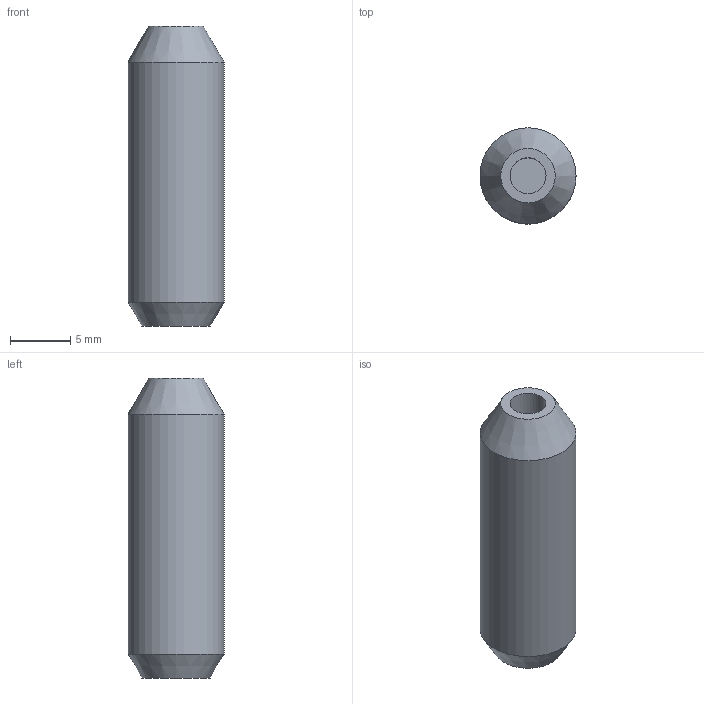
import cadquery as cq
import math

BODY_DIAMETER = 8.0
TOTAL_LENGTH = 25.0

TAPER_ANGLE = 30.0
TOP_TAPER_LENGTH = 3.0
BOTTOM_TAPER_LENGTH = 2.0

HOLE_DIAMETER = 3.0
HOLE_DEPTH = 10.0

body_radius = BODY_DIAMETER / 2
taper_slope = math.tan(math.radians(TAPER_ANGLE))


def end_radius(taper_length):
    """Radius of the flat end face left by a taper of the given length."""
    return body_radius - taper_length * taper_slope


def make_body():
    """Pin with tapered ends, revolved about Z and standing on Z = 0."""
    half_profile = [
        (0, 0),
        (end_radius(BOTTOM_TAPER_LENGTH), 0),
        (body_radius, BOTTOM_TAPER_LENGTH),
        (body_radius, TOTAL_LENGTH - TOP_TAPER_LENGTH),
        (end_radius(TOP_TAPER_LENGTH), TOTAL_LENGTH),
        (0, TOTAL_LENGTH),
    ]
    return cq.Workplane("XZ").polyline(half_profile).close().revolve(360, (0, 0), (0, 1))


def cut_top_hole(body):
    """Blind axial hole entering from the top face."""
    return body.faces(">Z").workplane().hole(HOLE_DIAMETER, HOLE_DEPTH)


result = cut_top_hole(make_body())